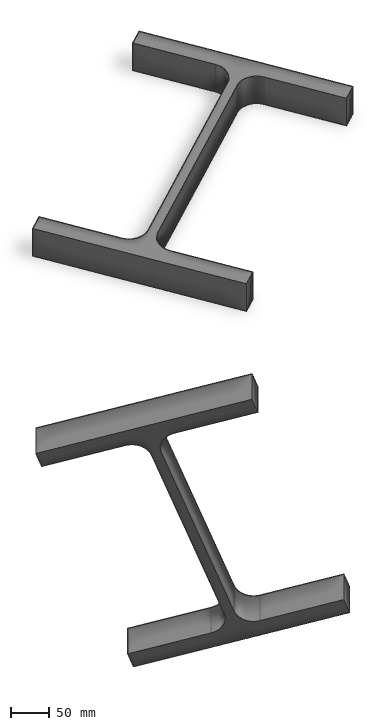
import cadquery as cq

flange_width = 300.0
beam_depth = 400.0
beam_length = 50.0
flange_thickness = 24.0
web_thickness = 13.5
root_radius = 27.0

web_depth = beam_depth - 2 * flange_thickness
flange_offset = (beam_depth - flange_thickness) / 2

beam = cq.Workplane("XY").rect(web_thickness, beam_depth).extrude(beam_length)

for side in (-1, 1):
    flange = (
        cq.Workplane("XY")
        .center(0, side * flange_offset)
        .rect(flange_width, flange_thickness)
        .extrude(beam_length)
    )
    beam = beam.union(flange)
beam = beam.clean()

root_zone = cq.selectors.BoxSelector(
    (-web_thickness, -web_depth / 2 - web_thickness, 0),
    (web_thickness, web_depth / 2 + web_thickness, beam_length),
)
result = beam.edges("|Z").edges(root_zone).fillet(root_radius)